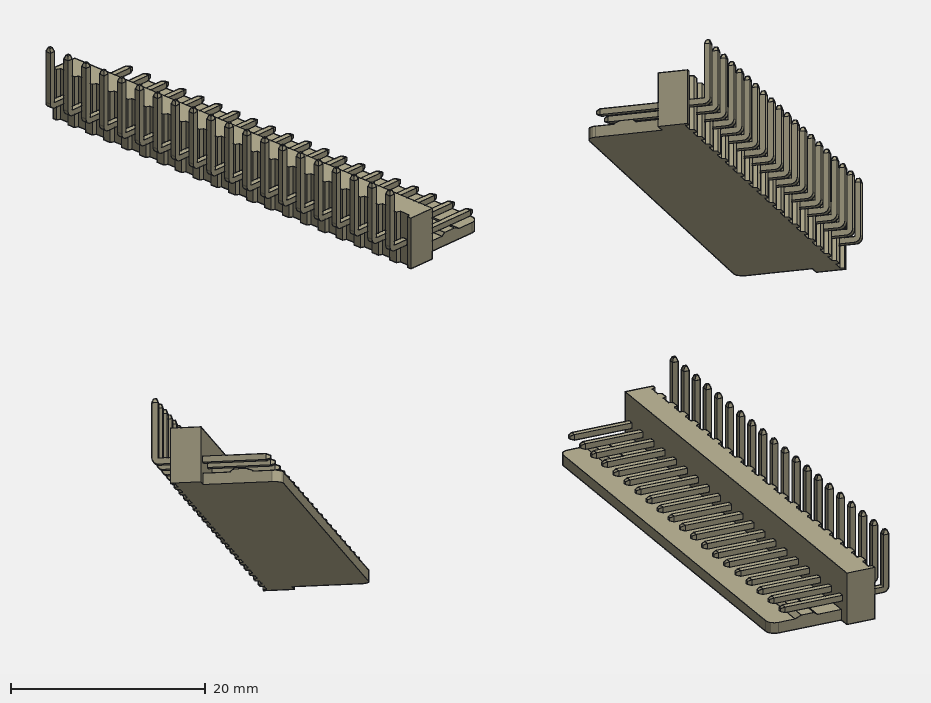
import cadquery as cq


pin_count = 20
pitch = 2.54

body_length = pin_count * pitch
body_depth = 3.2
body_height = 5.8

groove_mouth = 1.6
groove_floor = 1.25
groove_depth = 0.42

plate_inset = pitch / 2
plate_length = body_length - 2 * plate_inset
plate_reach = 8.2
plate_thickness = 1.2
plate_corner_radius = 1.0

bump_length = 4.6
bump_height = 0.3
bump_front = 2.75
bump_crest_front = 3.15
bump_crest_back = 4.6
bump_back = 5.3

pin_size = 0.635
pin_row_shift = 0.02
pin_axis_height = 2.6
pin_reach = 7.05
tail_reach = 2.12
tail_top = 9.2
bend_inner_radius = 0.05
tip_length = 0.45
tip_size = 0.32

body_front = -body_depth
tail_front = body_front - tail_reach


def make_body():
    wall = cq.Workplane("XY", origin=(0, body_front, 0))
    return wall.box(body_length, body_depth, body_height, centered=(True, False, False))


def make_groove(x):
    floor_y = body_front + groove_depth
    return (
        cq.Workplane("XY")
        .moveTo(x - groove_mouth / 2, body_front)
        .lineTo(x + groove_mouth / 2, body_front)
        .lineTo(x + groove_floor / 2, floor_y)
        .lineTo(x - groove_floor / 2, floor_y)
        .close()
        .extrude(body_height)
    )


def make_plate():
    plate = cq.Workplane("XY").box(
        plate_length, plate_reach, plate_thickness, centered=(True, False, False)
    )
    return plate.edges("|Z and >Y").fillet(plate_corner_radius)


def make_bump(x_start):
    crest = plate_thickness + bump_height
    return (
        cq.Workplane("YZ", origin=(x_start, 0, 0))
        .moveTo(bump_front, 0)
        .lineTo(bump_front, plate_thickness)
        .lineTo(bump_crest_front, crest)
        .lineTo(bump_crest_back, crest)
        .lineTo(bump_back, plate_thickness)
        .lineTo(bump_back, 0)
        .close()
        .extrude(bump_length)
    )


def make_tip(base):
    """Tapered tip on a square pin end, built outward from the given workplane."""
    return (
        base.rect(pin_size, pin_size)
        .workplane(offset=tip_length)
        .rect(tip_size, tip_size)
        .loft(ruled=True)
    )


def make_pin(x):
    half = pin_size / 2
    shank_end = pin_reach - tip_length
    tail_end = tail_top - tip_length
    tail_axis = tail_front + half
    shank = (
        cq.Workplane("YZ", origin=(x - half, 0, 0))
        .moveTo(shank_end, pin_axis_height - half)
        .lineTo(tail_front, pin_axis_height - half)
        .lineTo(tail_front, tail_end)
        .lineTo(tail_front + pin_size, tail_end)
        .lineTo(tail_front + pin_size, pin_axis_height + half)
        .lineTo(shank_end, pin_axis_height + half)
        .close()
        .extrude(pin_size)
    )
    outer_corner = cq.NearestToPointSelector((x, tail_front, pin_axis_height - half))
    shank = shank.edges(outer_corner).fillet(bend_inner_radius + pin_size)
    inner_corner = cq.NearestToPointSelector((x, tail_front + pin_size, pin_axis_height + half))
    shank = shank.edges(inner_corner).fillet(bend_inner_radius)
    mating_tip = make_tip(
        cq.Workplane(cq.Plane((x, shank_end, pin_axis_height), (1, 0, 0), (0, 1, 0)))
    )
    tail_tip = make_tip(cq.Workplane("XY", origin=(x, tail_axis, tail_end)))
    return shank.union(mating_tip).union(tail_tip)


slot_positions = [(i - (pin_count - 1) / 2) * pitch for i in range(pin_count)]

result = make_body().union(make_plate())
for slot_x in slot_positions:
    result = result.cut(make_groove(slot_x))
for bump_x in (-plate_length / 2, plate_length / 2 - bump_length):
    result = result.union(make_bump(bump_x))
for slot_x in slot_positions:
    result = result.union(make_pin(slot_x + pin_row_shift))